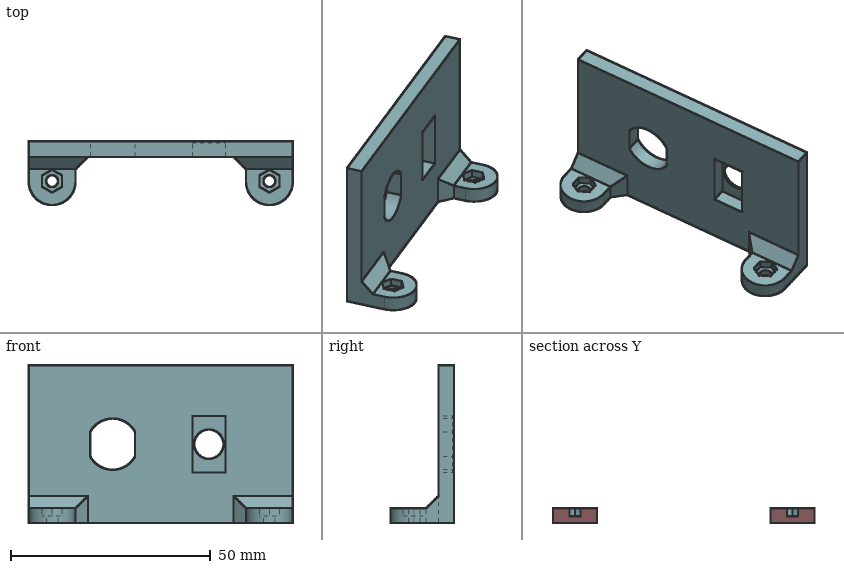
import cadquery as cq

plate_length = 66.2
plate_height = 39.6
plate_thickness = 4.0
total_depth = 16.0

lug_width = 11.8
lug_thickness = 3.8
lug_radius = lug_width / 2
lug_offset = plate_length / 2 - lug_radius
lug_center_y = lug_radius - total_depth
gusset_size = 3.05
screw_center_y = -10.0
screw_diameter = 2.9
nut_across_flats = 5.0
nut_pocket_depth = 2.0

opening_offset = 12.05
opening_z = plate_height / 2
round_opening_diameter = 12.8
round_opening_width = 11.2
small_hole_diameter = 7.3
recess_width = 8.2
recess_height = 14.2
recess_depth = 3.5


def make_plate():
    return cq.Workplane("XY").box(
        plate_length, plate_thickness, plate_height, centered=(True, False, False)
    ).translate((0, -plate_thickness, 0))


def make_left_lug():
    """Round-ended lug with a sloped gusset whose inner side is mitred into the plate."""
    outer_x = -plate_length / 2
    inner_x = outer_x + lug_width
    tab = (
        cq.Workplane("XY")
        .moveTo(outer_x, -plate_thickness)
        .lineTo(outer_x, lug_center_y)
        .threePointArc((-lug_offset, -total_depth), (inner_x, lug_center_y))
        .lineTo(inner_x, -plate_thickness)
        .close()
        .extrude(lug_thickness)
    )
    gusset_front_y = -plate_thickness - gusset_size
    gusset_plan = (
        cq.Workplane("XY")
        .moveTo(outer_x, -plate_thickness)
        .lineTo(outer_x, gusset_front_y)
        .lineTo(inner_x, gusset_front_y)
        .lineTo(inner_x + gusset_size, -plate_thickness)
        .close()
        .extrude(lug_thickness + gusset_size)
    )
    gusset_profile = (
        cq.Workplane("YZ")
        .moveTo(-plate_thickness, 0)
        .lineTo(gusset_front_y, 0)
        .lineTo(gusset_front_y, lug_thickness)
        .lineTo(-plate_thickness, lug_thickness + gusset_size)
        .close()
        .extrude(plate_length, both=True)
    )
    return tab.union(gusset_plan.intersect(gusset_profile))


def make_left_fastener_cut():
    """Screw hole through the lug with a hexagonal nut pocket from above."""
    screw = cq.Workplane("XY").circle(screw_diameter / 2).extrude(lug_thickness)
    nut = (
        cq.Workplane("XY")
        .workplane(offset=lug_thickness - nut_pocket_depth)
        .polygon(6, nut_across_flats, circumscribed=True)
        .extrude(nut_pocket_depth + gusset_size)
    )
    return screw.union(nut).translate((-lug_offset, screw_center_y, 0))


def front_plane(x):
    """Sketch plane on the plate front, facing -Y, centred on an opening."""
    return cq.Workplane("XZ", origin=(x, -plate_thickness, opening_z))


def make_flatted_opening():
    disc = front_plane(-opening_offset).circle(round_opening_diameter / 2).extrude(-plate_thickness)
    band = (
        front_plane(-opening_offset)
        .rect(round_opening_width, round_opening_diameter)
        .extrude(-plate_thickness)
    )
    return disc.intersect(band)


def make_recessed_hole():
    hole = front_plane(opening_offset).circle(small_hole_diameter / 2).extrude(-plate_thickness)
    recess = front_plane(opening_offset).rect(recess_width, recess_height).extrude(-recess_depth)
    return hole.union(recess)


left_lug = make_left_lug()
left_fastener_cut = make_left_fastener_cut()

result = (
    make_plate()
    .union(left_lug)
    .union(left_lug.mirror("YZ"))
    .cut(left_fastener_cut)
    .cut(left_fastener_cut.mirror("YZ"))
    .cut(make_flatted_opening())
    .cut(make_recessed_hole())
)